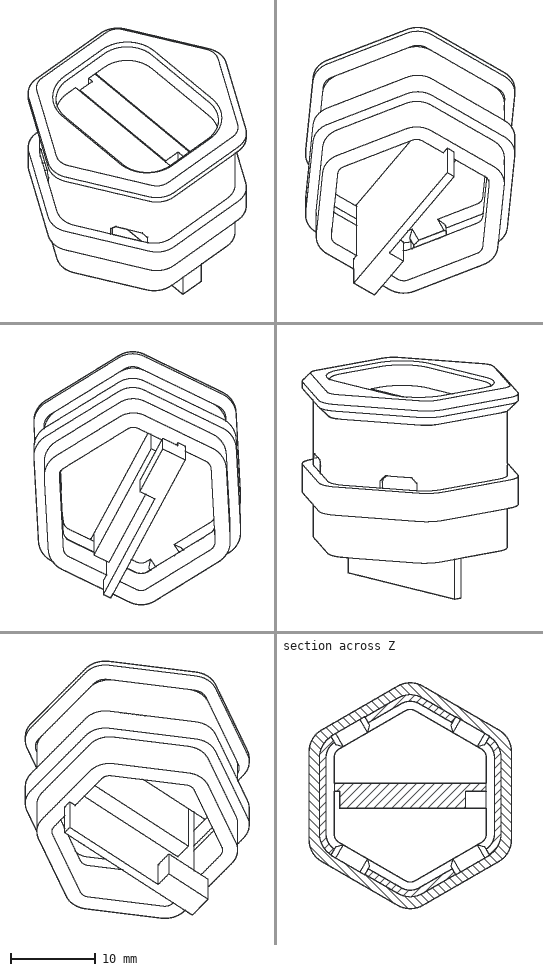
import cadquery as cq
import math


HEAD_APOTHEM = 12.0
BODY_APOTHEM = 10.8
CORNER_RADIUS = 3.0
WALL = 0.83

HEAD_HEIGHT = 3.0
HEAD_TOP_CHAMFER = 1.0
HEAD_UNDER_CHAMFER = HEAD_APOTHEM - BODY_APOTHEM

BODY_DEPTH = 19.75

POCKET_LENGTH = 18.0
POCKET_WIDTH = 14.03
POCKET_CORNER_RADIUS = 4.0
POCKET_CHAMFER = 0.4
POCKET_DEPTH = 2.9

CHAMBER_TOP_DEPTH = 9.45
CHAMBER_HEIGHT = 4.0
CHAMBER_BOTTOM_DEPTH = CHAMBER_TOP_DEPTH + CHAMBER_HEIGHT
CHAMBER_APOTHEM = BODY_APOTHEM - WALL
CHAMBER_CORNER_RADIUS = CORNER_RADIUS - WALL
OPENING_APOTHEM = POCKET_LENGTH / 2
CHAMBER_CHAMFER = CHAMBER_APOTHEM - OPENING_APOTHEM
OPENING_CORNER_RADIUS = CHAMBER_CORNER_RADIUS - CHAMBER_CHAMFER

RING_TOP_DEPTH = 10.98
RING_HEIGHT = 3.43

WINDOW_WIDTH = 4.6
WINDOW_CHAMFER = 0.65
WINDOW_REACH = WALL + CHAMBER_CHAMFER

BLADE_THICKNESS = 3.0
PLATE_THICKNESS = 1.0
BLADE_LEFT = -9.83
BLADE_RIGHT = 9.55
BLADE_BOTTOM_DEPTH = 24.85
TONGUE_LENGTH = POCKET_LENGTH
UPPER_BLOCK_LEFT = -8.35
UPPER_BLOCK_RIGHT = 6.55
UPPER_BLOCK_BOTTOM_DEPTH = 16.76
LOWER_BLOCK_LEFT = 3.6
LOWER_BLOCK_TOP_DEPTH = 20.85

SLOT_CLEARANCE = 0.1
SLOT_WIDTH = BLADE_THICKNESS + 2 * SLOT_CLEARANCE


def hex_prism(apothem, top_depth, bottom_depth, corner_radius=CORNER_RADIUS):
    """Rounded hexagonal prism with corners on the Y axis."""
    corner_diameter = 2 * apothem / math.cos(math.pi / 6)
    return (
        cq.Workplane("XY", origin=(0, 0, -bottom_depth))
        .transformed(rotate=(0, 0, 90))
        .polygon(6, corner_diameter)
        .extrude(bottom_depth - top_depth)
        .edges("|Z")
        .fillet(corner_radius)
    )


def box_between(x_range, y_range, depth_range):
    """Box given by its left/right, front/back and top/bottom limits."""
    x_min, x_max = x_range
    y_min, y_max = y_range
    top_depth, bottom_depth = depth_range
    size = (x_max - x_min, y_max - y_min, bottom_depth - top_depth)
    return cq.Workplane("XY").box(*size, centered=False).translate((x_min, y_min, -bottom_depth))


def make_head():
    """Wider top flange, chamfered above and narrowing below to the width of the body."""
    head = hex_prism(HEAD_APOTHEM, 0, HEAD_HEIGHT)
    head = head.faces(">Z").chamfer(HEAD_TOP_CHAMFER)
    return head.faces("<Z").chamfer(HEAD_UNDER_CHAMFER)


def make_pocket():
    """Rounded pocket whose rim widens in a chamfer at the top face."""
    pocket = (
        cq.Workplane("XY", origin=(0, 0, -POCKET_DEPTH))
        .rect(POCKET_LENGTH, POCKET_WIDTH)
        .extrude(POCKET_DEPTH)
        .edges("|Z")
        .fillet(POCKET_CORNER_RADIUS)
    )
    return pocket.union(make_pocket_rim())


def make_pocket_rim():
    """Frustum that flares from the pocket outline to the top face at 45 degrees."""
    outline = cq.Sketch().rect(POCKET_LENGTH, POCKET_WIDTH).vertices().fillet(POCKET_CORNER_RADIUS)
    rim_bottom = cq.Workplane("XY", origin=(0, 0, -POCKET_CHAMFER))
    return rim_bottom.placeSketch(outline).extrude(POCKET_CHAMFER, taper=-45)


def make_cavity():
    """Hexagonal chamber with chamfered upper and lower edges, opening straight down from there."""
    chamber = (
        hex_prism(CHAMBER_APOTHEM, CHAMBER_TOP_DEPTH, CHAMBER_BOTTOM_DEPTH, CHAMBER_CORNER_RADIUS)
        .faces("<Z or >Z")
        .chamfer(CHAMBER_CHAMFER)
    )
    opening = hex_prism(OPENING_APOTHEM, CHAMBER_BOTTOM_DEPTH, BODY_DEPTH, OPENING_CORNER_RADIUS)
    return chamber.union(opening)


def make_windows():
    """Four windows through the slanted flats, square to each flat, with chamfered corners."""
    window = (
        cq.Workplane("XY")
        .box(WINDOW_WIDTH, 2 * WINDOW_REACH, CHAMBER_HEIGHT, centered=(False, True, False))
        .edges("|Y")
        .chamfer(WINDOW_CHAMFER)
        .translate((0, -BODY_APOTHEM, -CHAMBER_BOTTOM_DEPTH))
        .rotate((0, 0, 0), (0, 0, 1), 30)
    )
    front_pair = window.union(window.mirror("YZ"))
    return front_pair.union(front_pair.mirror("XZ"))


def make_housing():
    """Head and body with the pocket, the slot in its floor, the cavity and the windows cut out."""
    body = hex_prism(BODY_APOTHEM, HEAD_HEIGHT, BODY_DEPTH)
    slot = box_between(
        (-POCKET_LENGTH / 2, POCKET_LENGTH / 2),
        (-SLOT_WIDTH / 2, SLOT_WIDTH / 2),
        (POCKET_DEPTH, CHAMBER_TOP_DEPTH),
    )
    housing = make_head().union(body)
    return housing.cut(make_pocket()).cut(slot).cut(make_cavity()).cut(make_windows())


def make_ring():
    """Hexagonal ring that fits closely around the body."""
    bottom_depth = RING_TOP_DEPTH + RING_HEIGHT
    ring = hex_prism(HEAD_APOTHEM, RING_TOP_DEPTH, bottom_depth)
    return ring.cut(hex_prism(BODY_APOTHEM, RING_TOP_DEPTH, bottom_depth))


def make_blade():
    """Plate below the body with a narrower tongue up through the slot, and two blocks on the front."""
    back = BLADE_THICKNESS / 2
    front = -back
    plate_front = back - PLATE_THICKNESS
    plate = box_between(
        (BLADE_LEFT, BLADE_RIGHT), (plate_front, back), (BODY_DEPTH, BLADE_BOTTOM_DEPTH)
    )
    tongue = box_between(
        (-TONGUE_LENGTH / 2, TONGUE_LENGTH / 2), (plate_front, back), (POCKET_DEPTH, BODY_DEPTH)
    )
    upper_block = box_between(
        (UPPER_BLOCK_LEFT, UPPER_BLOCK_RIGHT), (front, plate_front), (POCKET_DEPTH, UPPER_BLOCK_BOTTOM_DEPTH)
    )
    lower_block = box_between(
        (LOWER_BLOCK_LEFT, BLADE_RIGHT), (front, plate_front), (LOWER_BLOCK_TOP_DEPTH, BLADE_BOTTOM_DEPTH)
    )
    return plate.union(tongue).union(upper_block).union(lower_block)


housing = make_housing()
ring = make_ring()
blade = make_blade()

bodies = [housing, ring, blade]
result = cq.Compound.makeCompound([body.solids().val() for body in bodies])